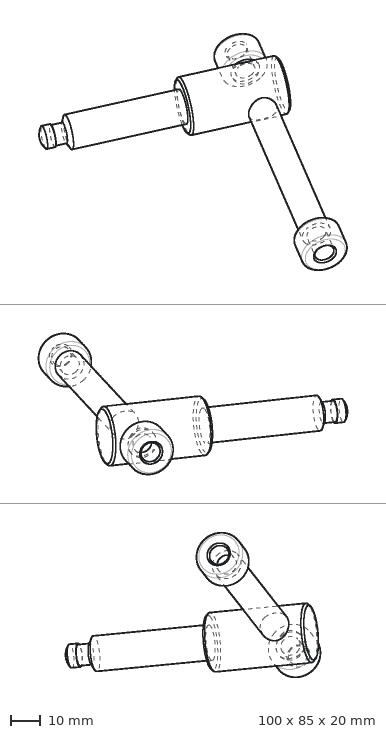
import cadquery as cq
import math

hub_diameter = 20.0
hub_length = 35.0
hub_chamfer = 0.8

bar_length = 100.0
bar_diameter = 10.0
cap_diameter = 16.0
cap_length = 9.9
cap_edge_radius = 1.0
bore_diameter = 6.7
bore_mouth_diameter = 8.0
bore_depth = 10.0

spindle_length = 50.0
shaft_diameter = 12.0
neck_diameter = 7.2
tip_diameter = 8.0
shaft_straight_length = 40.0
tip_length = 4.5
dome_radius = 6.0
shoulder_angle = 30.0

bar_to_hub_back = 10.0
hub_front_y = bar_to_hub_back - hub_length
bar_start_x = -20.0
bar_end_x = bar_start_x + bar_length


def make_hub():
    hub = cq.Workplane("XZ", origin=(0, bar_to_hub_back, 0)).circle(hub_diameter / 2).extrude(hub_length)
    return hub.faces("<Y or >Y").chamfer(hub_chamfer)


def make_spindle():
    shaft_radius = shaft_diameter / 2
    neck_radius = neck_diameter / 2
    tip_radius = tip_diameter / 2
    shoulder_y = hub_front_y - shaft_straight_length
    shoulder_length = (shaft_radius - neck_radius) * math.tan(math.radians(shoulder_angle))
    apex_y = hub_front_y - spindle_length
    dome_height = dome_radius - math.sqrt(dome_radius**2 - tip_radius**2)
    dome_middle_x = tip_radius / 2
    dome_middle_y = apex_y + dome_radius - math.sqrt(dome_radius**2 - dome_middle_x**2)
    return (
        cq.Workplane("XY")
        .moveTo(0, 0)
        .lineTo(shaft_radius, 0)
        .lineTo(shaft_radius, shoulder_y)
        .lineTo(neck_radius, shoulder_y - shoulder_length)
        .lineTo(neck_radius, apex_y + tip_length)
        .lineTo(tip_radius, apex_y + tip_length)
        .lineTo(tip_radius, apex_y + dome_height)
        .threePointArc((dome_middle_x, dome_middle_y), (0, apex_y))
        .close()
        .revolve(360, (0, 0, 0), (0, 1, 0))
    )


def make_cap(start_x):
    cap = cq.Workplane("YZ", origin=(start_x, 0, 0)).circle(cap_diameter / 2).extrude(cap_length)
    return cap.faces("<X or >X").edges().fillet(cap_edge_radius)


def make_bore(end_x, inward):
    """Blind bore with a 45 degree countersunk mouth; inward is +1 or -1 along X."""
    bore_radius = bore_diameter / 2
    mouth_radius = bore_mouth_diameter / 2
    mouth_depth = mouth_radius - bore_radius
    return (
        cq.Workplane("XY")
        .moveTo(end_x, 0)
        .lineTo(end_x, mouth_radius)
        .lineTo(end_x + inward * mouth_depth, bore_radius)
        .lineTo(end_x + inward * bore_depth, bore_radius)
        .lineTo(end_x + inward * bore_depth, 0)
        .close()
        .revolve(360, (0, 0, 0), (1, 0, 0))
    )


bar = cq.Workplane("YZ", origin=(bar_start_x + cap_length / 2, 0, 0)).circle(bar_diameter / 2)
bar = bar.extrude(bar_length - cap_length)

result = make_hub().union(make_spindle()).union(bar)
for cap_start_x in (bar_start_x, bar_end_x - cap_length):
    result = result.union(make_cap(cap_start_x))
for end_x, inward in ((bar_start_x, 1), (bar_end_x, -1)):
    result = result.cut(make_bore(end_x, inward))